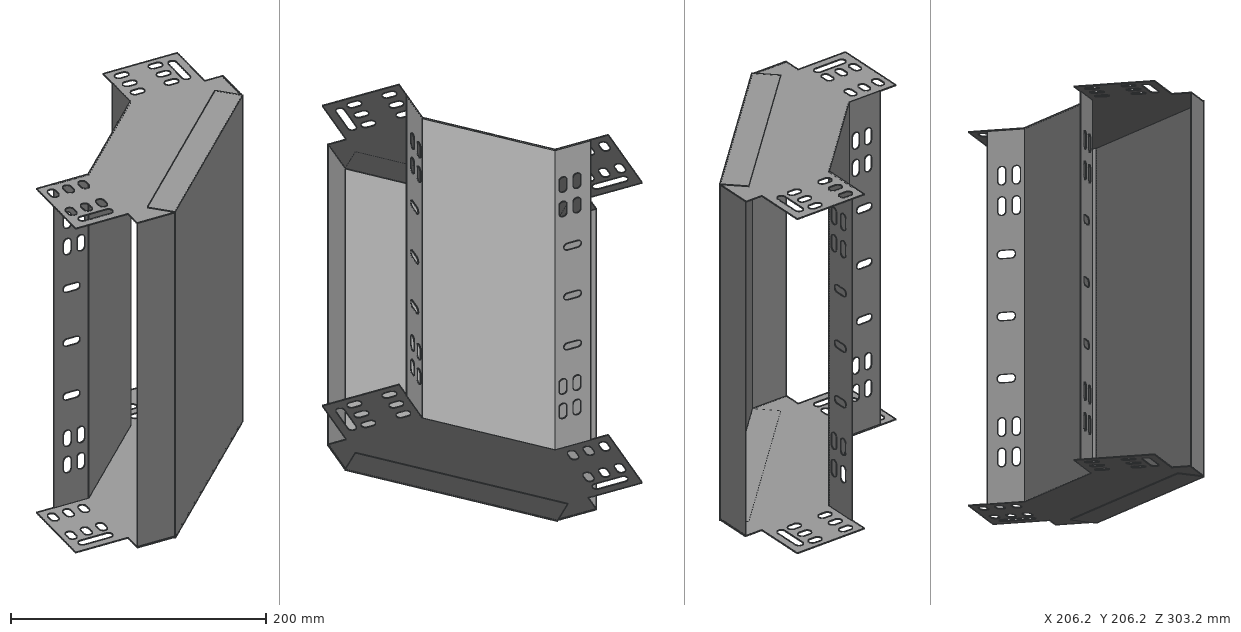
import cadquery as cq
import math


sheet = 0.8
overall_size = 206.21
tray_width = 300.0
leg_length = 45.6
step_length = 46.3
leg_height = 65.8
cover_step = 16.1
cover_corner = 79.9

bend_start = overall_size - leg_height - cover_step
leg_top = overall_size - cover_step
plate_outer_z = tray_width / 2 + sheet
miter = math.tan(math.radians(22.5))

wall_inset = 15.2

lip_depth = 23.1

plate_slot_length = 12.0
plate_slot_width = 7.0
plate_slot_along = [8.5, 22.0, 35.5]
plate_slot_across = [12.0, 42.0]
long_slot_length = 30.0
long_slot_along = 23.0
long_slot_across = 55.5

wall_slot_length = 15.0
wall_slot_width = 6.7
upright_slot_along = [27.0, 39.0]
upright_slot_z = [89.0, 113.5]
level_slot_along = 30.75
level_slot_pitch = 50.0


def mirrored(points):
    """Mirror outline points about the line X = Y, in reversed order."""
    return [(y, x) for x, y in reversed(points)]


def prism(points, z_low, z_high):
    """Upright prism over a closed outline."""
    return cq.Workplane("XY").workplane(offset=z_low).polyline(points).close().extrude(z_high - z_low)


def mirror_leg(shape):
    """Copy of a shape on the other leg, mirrored about the plane X = Y."""
    return shape.rotate((0, 0, 0), (0, 0, 1), 90).mirror("YZ")


def wall_line(offset):
    """Points of the tray wall's bent line, a distance inside its outer face."""
    shift = offset * miter
    half = [(wall_inset, bend_start + offset), (leg_length + shift, bend_start + offset)]
    return half + mirrored(half)


def cover_line(offset):
    """Points of the cover's bent line, a distance inside its outer face."""
    shift = offset * miter
    half = [(step_length, overall_size - offset), (cover_corner - shift, overall_size - offset)]
    return half + mirrored(half)


def plate_outline():
    """Side plate outline: inner bend, both leg ends, and the inside of the cover."""
    half_inner = [(0, bend_start), (leg_length, bend_start)]
    half_outer = [(0, leg_top), (step_length, leg_top)]
    inner_side = half_inner + mirrored(half_inner)
    outer_side = half_outer + cover_line(sheet) + mirrored(half_outer)
    return inner_side + outer_side[::-1]


def slot_cutter(plane, offset, places, length, width, angle, depth):
    """Cutters for equal slots at the given places, from a plane offset along its normal."""
    face = cq.Workplane(plane).workplane(offset=offset)
    return face.pushPoints(places).slot2D(length, width, angle).extrude(depth)


def plate_slots():
    """Cutters for one leg's slots, through both side plates."""
    start = -plate_outer_z
    depth = 2 * plate_outer_z
    small_places = [(a, bend_start + b) for a in plate_slot_along for b in plate_slot_across]
    long_places = [(long_slot_along, bend_start + long_slot_across)]
    small = slot_cutter("XY", start, small_places, plate_slot_length, plate_slot_width, 90, depth)
    long = slot_cutter("XY", start, long_places, long_slot_length, plate_slot_width, 0, depth)
    return small.union(long)


def wall_slots():
    """Cutters for the slots in one leg wall."""
    start = -bend_start - sheet
    upright_places = [(a, side * z) for a in upright_slot_along for z in upright_slot_z for side in (-1, 1)]
    level_places = [(level_slot_along, i * level_slot_pitch) for i in (-1, 0, 1)]
    upright = slot_cutter("XZ", start, upright_places, wall_slot_length, wall_slot_width, 90, sheet)
    level = slot_cutter("XZ", start, level_places, wall_slot_length, wall_slot_width, 0, sheet)
    return upright.union(level)


def make_tray():
    """Bent wall with a side plate at each end, slotted along both legs."""
    wall_outline = wall_line(0) + wall_line(sheet)[::-1]
    tray = prism(wall_outline, -plate_outer_z, plate_outer_z)
    tray = tray.union(prism(plate_outline(), tray_width / 2, plate_outer_z))
    tray = tray.union(prism(plate_outline(), -plate_outer_z, -tray_width / 2))
    for slots in (plate_slots(), wall_slots()):
        tray = tray.cut(slots).cut(mirror_leg(slots))
    return tray


def make_cover():
    """Bent back panel with a lip over each side plate along its diagonal."""
    cover = prism(cover_line(0) + cover_line(sheet)[::-1], -plate_outer_z, plate_outer_z)
    run = lip_depth / math.sqrt(2)
    half_lip = [(cover_corner - run, overall_size - run), (cover_corner, overall_size)]
    lip = half_lip + mirrored(half_lip)
    for z_low in (plate_outer_z, -plate_outer_z - sheet):
        cover = cover.union(prism(lip, z_low, z_low + sheet))
    return cover


tray = make_tray()
cover = make_cover()
result = cq.Compound.makeCompound([tray.solids().val(), cover.solids().val()])